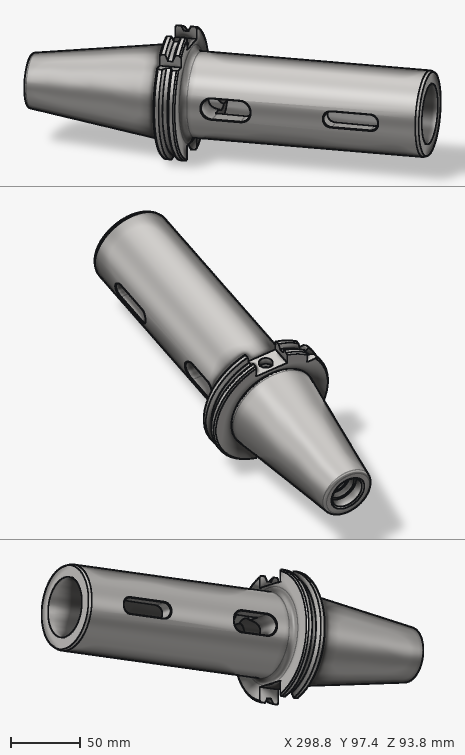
import cadquery as cq
import math


TOTAL_LENGTH = 298.8

GAUGE_X = 102.0
GAUGE_DIAMETER = 70.0
SHANK_TAPER = 7 / 24
GAUGE_RADIUS = GAUGE_DIAMETER / 2
SHANK_END_RADIUS = GAUGE_RADIUS - GAUGE_X * SHANK_TAPER / 2
SHANK_END_FILLET = 2.0

FLANGE_RADIUS = 48.7
FLANGE_START_X = 104.5
UNDERCUT_WIDTH = 1.0
UNDERCUT_DEPTH = 1.0
FLANGE_END_X = 120.7
FLANGE_CHAMFER = 1.2
GROOVE_X = 112.5
GROOVE_WIDTH = 7.5
GROOVE_DEPTH = 3.5
GROOVE_HALF_ANGLE = 30.0
GROOVE_FLOOR_WIDTH = 3.5
GROOVE_FLANK_DEPTH = (GROOVE_WIDTH - GROOVE_FLOOR_WIDTH) / 2 / math.tan(math.radians(GROOVE_HALF_ANGLE))

KEY_SLOT_WIDTH = 26.3
UPPER_KEY_FLOOR_Z = 37.5
LOWER_KEY_FLOOR_Z = -35.5
NOTCH_Y = -30.2
NOTCH_Z = 29.5

COOLANT_BORE_DIAMETER = 10.2
COOLANT_BORE_DEPTH = 6.0
COOLANT_DRILL_DIAMETER = 4.0
COOLANT_DRILL_DEPTH = 12.0

BODY_DIAMETER = 63.0
BODY_RADIUS = BODY_DIAMETER / 2
NECK_FILLET = 4.5
BODY_END_CHAMFER_LENGTH = 2.5
BODY_END_CHAMFER_HEIGHT = 1.0

ENTRY_RADIUS = 14.0
PILOT_RADIUS = 12.5
ENTRY_LENGTH = 1.0
PILOT_DEPTH = 9.0
THREAD_RELIEF_RADIUS = 10.8
THREAD_RELIEF_LENGTH = 6.0
THREAD_HOLE_RADIUS = 10.2

SOCKET_MOUTH_RADIUS = 22.0
SOCKET_DEPTH = 156.0
SOCKET_TAPER = 1 / 19
SOCKET_FLOOR_RADIUS = SOCKET_MOUTH_RADIUS - SOCKET_DEPTH * SOCKET_TAPER / 2

DRIFT_SLOT = (136.0, 172.7, 15.5)
WEDGE_SLOT = (227.5, 268.3, 11.7)
CROSS_SLOT_CHAMFER = 0.5


def make_turned_body():
    """Shank, flange and body as one revolved outline."""
    undercut_x = FLANGE_START_X - UNDERCUT_WIDTH
    undercut_radius = GAUGE_RADIUS - UNDERCUT_DEPTH
    groove_floor_radius = FLANGE_RADIUS - GROOVE_DEPTH
    groove_flank_radius = FLANGE_RADIUS - GROOVE_FLANK_DEPTH
    chamfer_radius = FLANGE_RADIUS - FLANGE_CHAMFER
    neck_middle = NECK_FILLET * (1 - math.sqrt(0.5))
    outline = (
        cq.Workplane("XY")
        .moveTo(0, 0)
        .lineTo(0, SHANK_END_RADIUS)
        .lineTo(GAUGE_X, GAUGE_RADIUS)
        .lineTo(undercut_x, GAUGE_RADIUS)
        .lineTo(undercut_x, undercut_radius)
        .lineTo(FLANGE_START_X, undercut_radius)
        .lineTo(FLANGE_START_X, chamfer_radius)
        .lineTo(FLANGE_START_X + FLANGE_CHAMFER, FLANGE_RADIUS)
        .lineTo(GROOVE_X - GROOVE_WIDTH / 2, FLANGE_RADIUS)
        .lineTo(GROOVE_X - GROOVE_FLOOR_WIDTH / 2, groove_flank_radius)
        .lineTo(GROOVE_X - GROOVE_FLOOR_WIDTH / 2, groove_floor_radius)
        .lineTo(GROOVE_X + GROOVE_FLOOR_WIDTH / 2, groove_floor_radius)
        .lineTo(GROOVE_X + GROOVE_FLOOR_WIDTH / 2, groove_flank_radius)
        .lineTo(GROOVE_X + GROOVE_WIDTH / 2, FLANGE_RADIUS)
        .lineTo(FLANGE_END_X - FLANGE_CHAMFER, FLANGE_RADIUS)
        .lineTo(FLANGE_END_X, chamfer_radius)
        .lineTo(FLANGE_END_X, BODY_RADIUS + NECK_FILLET)
        .threePointArc(
            (FLANGE_END_X + neck_middle, BODY_RADIUS + neck_middle),
            (FLANGE_END_X + NECK_FILLET, BODY_RADIUS),
        )
        .lineTo(TOTAL_LENGTH - BODY_END_CHAMFER_LENGTH, BODY_RADIUS)
        .lineTo(TOTAL_LENGTH, BODY_RADIUS - BODY_END_CHAMFER_HEIGHT)
        .lineTo(TOTAL_LENGTH, 0)
        .close()
    )
    body = outline.revolve(360, (0, 0, 0), (1, 0, 0))
    return body.faces("<X").edges().fillet(SHANK_END_FILLET)


def make_bore():
    """Stepped draw-bar bore that opens into the Morse-taper socket."""
    socket_floor_x = TOTAL_LENGTH - SOCKET_DEPTH
    relief_end_x = PILOT_DEPTH + THREAD_RELIEF_LENGTH
    thread_chamfer = THREAD_RELIEF_RADIUS - THREAD_HOLE_RADIUS
    outline = [
        (0, 0),
        (0, ENTRY_RADIUS),
        (ENTRY_LENGTH, PILOT_RADIUS),
        (PILOT_DEPTH, PILOT_RADIUS),
        (PILOT_DEPTH, THREAD_RELIEF_RADIUS),
        (relief_end_x, THREAD_RELIEF_RADIUS),
        (relief_end_x + thread_chamfer, THREAD_HOLE_RADIUS),
        (socket_floor_x, THREAD_HOLE_RADIUS),
        (socket_floor_x, SOCKET_FLOOR_RADIUS),
        (TOTAL_LENGTH, SOCKET_MOUTH_RADIUS),
        (TOTAL_LENGTH, 0),
    ]
    return cq.Workplane("XY").polyline(outline).close().revolve(360, (0, 0, 0), (1, 0, 0))


def make_flange_cutter(y_min, y_max, z_min, z_max):
    """Block that spans the flange thickness."""
    thickness = FLANGE_END_X - FLANGE_START_X
    return cq.Workplane("XY").box(
        thickness, y_max - y_min, z_max - z_min, centered=False
    ).translate((FLANGE_START_X, y_min, z_min))


def make_cross_slot(start_x, end_x, height):
    """Round-ended slot along Y through the whole body."""
    return (
        cq.Workplane("XZ")
        .center((start_x + end_x) / 2, 0)
        .slot2D(end_x - start_x, height)
        .extrude(2 * BODY_RADIUS, both=True)
    )


def select_slot_rims(start_x, end_x, height):
    """Selectors for the slot edges on the two sides of the body, outside the socket."""
    margin = CROSS_SLOT_CHAMFER
    return [
        cq.selectors.BoxSelector(
            (start_x - margin, side * SOCKET_MOUTH_RADIUS, -height / 2 - margin),
            (end_x + margin, side * (BODY_RADIUS + margin), height / 2 + margin),
        )
        for side in (-1, 1)
    ]


def make_coolant_hole():
    """Counterbored radial hole at the groove position."""
    floor = cq.Workplane("XY", origin=(GROOVE_X, 0, UPPER_KEY_FLOOR_Z))
    bore = floor.circle(COOLANT_BORE_DIAMETER / 2).extrude(-COOLANT_BORE_DEPTH)
    drill = floor.circle(COOLANT_DRILL_DIAMETER / 2).extrude(-COOLANT_DRILL_DEPTH)
    return bore.union(drill)


def cut_flange(part):
    """Key slots at top and bottom, the orientation notch and the coolant hole."""
    half_width = KEY_SLOT_WIDTH / 2
    upper_key_slot = make_flange_cutter(-half_width, half_width, UPPER_KEY_FLOOR_Z, FLANGE_RADIUS)
    lower_key_slot = make_flange_cutter(-half_width, half_width, -FLANGE_RADIUS, LOWER_KEY_FLOOR_Z)
    notch = make_flange_cutter(-FLANGE_RADIUS, NOTCH_Y, NOTCH_Z, FLANGE_RADIUS)
    return part.cut(upper_key_slot).cut(lower_key_slot).cut(notch).cut(make_coolant_hole())


def cut_cross_slots(part):
    """Drift and wedge slots with chamfered rims."""
    for slot in (DRIFT_SLOT, WEDGE_SLOT):
        part = part.cut(make_cross_slot(*slot))
        for rim in select_slot_rims(*slot):
            part = part.edges(rim).chamfer(CROSS_SLOT_CHAMFER)
    return part


result = cut_cross_slots(cut_flange(make_turned_body().cut(make_bore())))